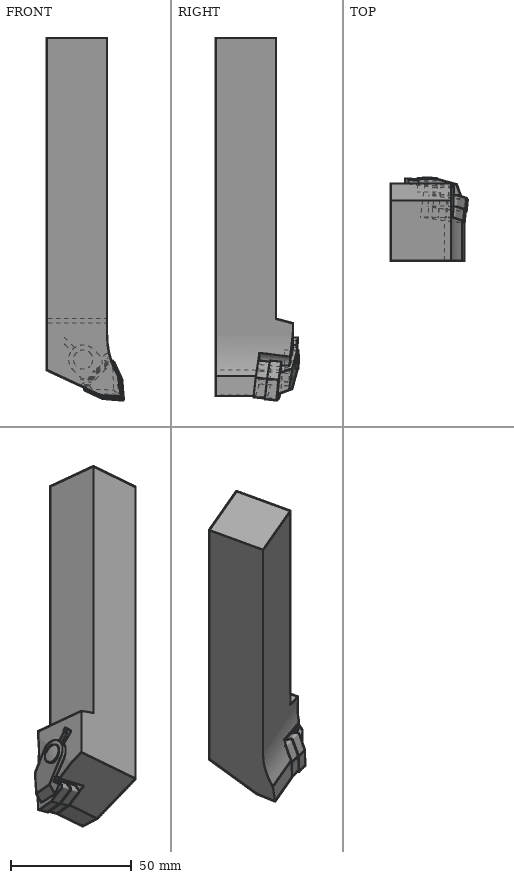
import cadquery as cq
import math

LENGTH = 150.0
SHANK = 25.0
HEAD_TOP = 32.1
SHOULDER_TOP_Z = 33.9
SHOULDER_ANGLE = 15.0
FRONT_CORNER_Z = 12.6
FRONT_ANGLE = 25.0
FRONT_KNEE_Z = 2.2
HEAD_TIP = (30.6, 1.8)
SIDE_KNEE = (29.5, 10.2)
NECK_RADIUS = 33.0

TILT = 6.0
SEAT_CENTRE = (25.0, 26.5, 6.9)
INSERT_CIRCLE = 12.7
CORNER_ANGLE = 80.0
CORNER_DIRECTIONS = (0, 120, 240)
KNEE_TURN = 60
NOSE_RADIUS = 0.7
INSERT_THICKNESS = 4.8
SHIM_THICKNESS = 4.8
SHIM_INSET = 0.3
RELIEF_DIAMETER = 7.0
POCKET_HEIGHT = 18.0

CLAMP_MIDDLE = (16.0, 0.0, 16.0)
BOSS_DIAMETER = 12.0
BOSS_PLACE = -1.3
BOSS_TOP = 33.9
TAIL_WIDTH = 2.0
TAIL_END = -13.3
TAIL_TOP = 33.6
TAIL_LOW = 33.3
HEEL_TOP = 34.2
HEEL_LENGTH = 1.5
RAMP_START = -3.0
NOSE_START = 8.1
NOSE_BASE = 24.7
ARM_SLOPE = 11.0
NOSE_CORNER = (29.8, 2.2)
NOSE_TAPER = 20.0
CLAMP_REACH = 21.0
TAPER_ROOM = 12.0
SCREW_DIAMETER = 8.0
SCREW_SHOULDER_Y = 34.2
SCREW_TOP = 34.5
SCREW_FLAT = 2.2
SCREW_BOTTOM = 28.5

tilt_slope = math.tan(math.radians(TILT))
ramp_slope = math.sqrt(2) * tilt_slope
seat_plane = cq.Plane(SEAT_CENTRE, xDir=(1, -2 * tilt_slope, -1), normal=(tilt_slope, 1, -tilt_slope))
clamp_side = cq.Plane(CLAMP_MIDDLE, xDir=(1, 0, -1), normal=(1, 0, 1))


def plan_plane(height):
    """Plane square to Y: local x runs along the clamp towards the insert tip."""
    x_mid, _, z_mid = CLAMP_MIDDLE
    return cq.Plane((x_mid, height, z_mid), xDir=(1, 0, -1), normal=(0, 1, 0))


def polar(radius, angle):
    """Point at a radius and an angle in degrees."""
    return radius * math.cos(math.radians(angle)), radius * math.sin(math.radians(angle))


def corner_arc_reach(inscribed_diameter, corner_radius):
    """Distance from the middle of a trigon to the centre of its corner arcs."""
    return (inscribed_diameter / 2 - corner_radius) / math.sin(math.radians(CORNER_ANGLE / 2))


def trigon(inscribed_diameter, corner_radius, bottom, thickness):
    """Three-cornered prism on the seat plane, one corner towards local +x."""
    swing = 90 - CORNER_ANGLE / 2
    arc_reach = corner_arc_reach(inscribed_diameter, corner_radius)
    knee_reach = inscribed_diameter / 2 / math.cos(math.radians(KNEE_TURN - swing))

    def corner_point(direction, offset):
        x, y = polar(arc_reach, direction)
        dx, dy = polar(corner_radius, direction + offset)
        return x + dx, y + dy

    outline = cq.Workplane(seat_plane).workplane(offset=bottom).moveTo(*polar(knee_reach, -KNEE_TURN))
    for direction in CORNER_DIRECTIONS:
        outline = (
            outline.lineTo(*corner_point(direction, -swing))
            .threePointArc(corner_point(direction, 0), corner_point(direction, swing))
            .lineTo(*polar(knee_reach, direction + KNEE_TURN))
        )
    return outline.close().extrude(thickness)


def make_pocket():
    """Open seat for the shim and insert, with a round relief at each rear corner."""
    floor = -(INSERT_THICKNESS + SHIM_THICKNESS)
    relief_reach = corner_arc_reach(INSERT_CIRCLE, NOSE_RADIUS)
    reliefs = (
        cq.Workplane(seat_plane)
        .workplane(offset=floor)
        .pushPoints([polar(relief_reach, direction) for direction in CORNER_DIRECTIONS[1:]])
        .circle(RELIEF_DIAMETER / 2)
        .extrude(POCKET_HEIGHT)
    )
    return trigon(INSERT_CIRCLE, NOSE_RADIUS, floor, POCKET_HEIGHT).union(reliefs)


def make_holder():
    """Square shank with a raised head, slanted towards the insert corner."""
    front_knee_x = (FRONT_CORNER_Z - FRONT_KNEE_Z) / math.tan(math.radians(FRONT_ANGLE))
    knee_x, knee_z = SIDE_KNEE
    neck_turn = math.acos(1 - (knee_x - SHANK) / NECK_RADIUS)
    neck_start_z = knee_z + NECK_RADIUS * math.sin(neck_turn)
    neck_middle = (
        SHANK + NECK_RADIUS * (1 - math.cos(neck_turn / 2)),
        neck_start_z - NECK_RADIUS * math.sin(neck_turn / 2),
    )
    body = (
        cq.Workplane("XZ")
        .moveTo(0, LENGTH)
        .lineTo(0, FRONT_CORNER_Z)
        .lineTo(front_knee_x, FRONT_KNEE_Z)
        .lineTo(*HEAD_TIP)
        .lineTo(*SIDE_KNEE)
        .threePointArc(neck_middle, (SHANK, neck_start_z))
        .lineTo(SHANK, LENGTH)
        .close()
        .extrude(-HEAD_TOP)
    )
    shoulder_drop = (HEAD_TOP - SHANK) * math.tan(math.radians(SHOULDER_ANGLE))
    above_shank = (
        cq.Workplane("YZ")
        .moveTo(SHANK, LENGTH)
        .lineTo(SHANK, SHOULDER_TOP_Z)
        .lineTo(HEAD_TOP, SHOULDER_TOP_Z - shoulder_drop)
        .lineTo(HEAD_TOP, LENGTH)
        .close()
        .extrude(SHANK)
    )
    ramp_drop = (CLAMP_REACH - RAMP_START) * ramp_slope
    above_ramp = (
        cq.Workplane(clamp_side)
        .moveTo(RAMP_START, HEAD_TOP)
        .lineTo(CLAMP_REACH, HEAD_TOP - ramp_drop)
        .lineTo(CLAMP_REACH, HEAD_TOP)
        .close()
        .extrude(CLAMP_REACH, both=True)
    )
    return body.cut(above_shank).cut(above_ramp).cut(make_pocket())


def make_insert():
    return trigon(INSERT_CIRCLE, NOSE_RADIUS, -INSERT_THICKNESS, INSERT_THICKNESS)


def make_shim():
    circle = INSERT_CIRCLE - 2 * SHIM_INSET
    return trigon(circle, NOSE_RADIUS, -(INSERT_THICKNESS + SHIM_THICKNESS), SHIM_THICKNESS)


def make_clamp():
    """Round boss with a thin tail and heel behind it and a wide arm ahead of it."""
    nose_back_y = HEAD_TOP - (NOSE_START - RAMP_START) * ramp_slope
    arm_drop = (CLAMP_REACH - BOSS_PLACE) * math.tan(math.radians(ARM_SLOPE))
    profile = (
        cq.Workplane(clamp_side)
        .moveTo(TAIL_END, HEAD_TOP)
        .lineTo(RAMP_START, HEAD_TOP)
        .lineTo(NOSE_START, nose_back_y)
        .lineTo(NOSE_START, NOSE_BASE)
        .lineTo(CLAMP_REACH, NOSE_BASE)
        .lineTo(CLAMP_REACH, BOSS_TOP - arm_drop)
        .lineTo(BOSS_PLACE, BOSS_TOP)
        .lineTo(BOSS_PLACE - BOSS_DIAMETER / 2, BOSS_TOP)
        .lineTo(BOSS_PLACE - BOSS_DIAMETER / 2, TAIL_LOW)
        .lineTo(TAIL_END + HEEL_LENGTH, TAIL_TOP)
        .lineTo(TAIL_END + HEEL_LENGTH, HEEL_TOP)
        .lineTo(TAIL_END, HEEL_TOP)
        .close()
        .extrude(CLAMP_REACH, both=True)
    )
    height = HEEL_TOP - NOSE_BASE
    plan = cq.Workplane(plan_plane(NOSE_BASE))
    boss = plan.center(BOSS_PLACE, 0).circle(BOSS_DIAMETER / 2).extrude(height)
    tail_length = BOSS_PLACE - TAIL_END
    tail = plan.center(TAIL_END + tail_length / 2, 0).rect(tail_length, TAIL_WIDTH).extrude(height)
    arm_length = CLAMP_REACH - BOSS_PLACE
    arm = plan.center(BOSS_PLACE + arm_length / 2, 0).rect(arm_length, BOSS_DIAMETER).extrude(height)
    corner_x, corner_z = NOSE_CORNER
    side = 2 * CLAMP_REACH + TAPER_ROOM
    nose_limit = (
        cq.Workplane(cq.Plane((corner_x, NOSE_BASE, corner_z), xDir=(1, 0, 0), normal=(0, 1, 0)))
        .center(-side / 2, -side / 2)
        .rect(side, side)
        .extrude(height, taper=NOSE_TAPER)
    )
    return profile.intersect(boss.union(tail).union(arm)).intersect(nose_limit)


def make_screw():
    """Round screw through the boss into the head, with a low cone around its flat end."""
    radius = SCREW_DIAMETER / 2
    return (
        cq.Workplane(clamp_side)
        .moveTo(BOSS_PLACE, SCREW_BOTTOM)
        .lineTo(BOSS_PLACE + radius, SCREW_BOTTOM)
        .lineTo(BOSS_PLACE + radius, SCREW_SHOULDER_Y)
        .lineTo(BOSS_PLACE + SCREW_FLAT / 2, SCREW_TOP)
        .lineTo(BOSS_PLACE, SCREW_TOP)
        .close()
        .revolve(360, (BOSS_PLACE, 0), (BOSS_PLACE, 1))
    )


insert = make_insert()
shim = make_shim()
screw = make_screw()
clamp = make_clamp().cut(insert).cut(screw)
holder = make_holder().cut(clamp).cut(screw)
result = cq.Compound.makeCompound([holder.val(), shim.val(), insert.val(), clamp.val(), screw.val()])